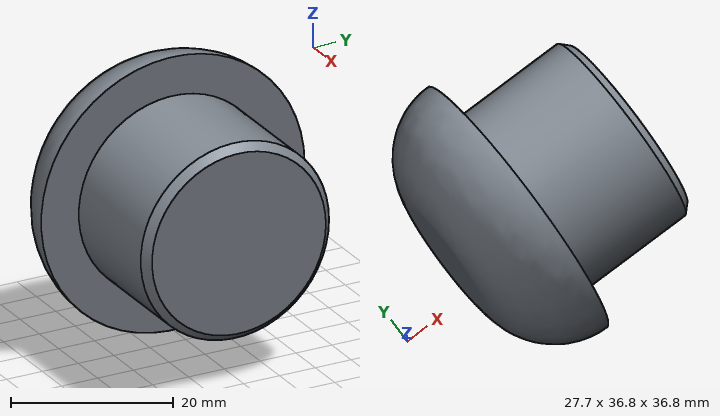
import cadquery as cq

head_diameter = 36.8
head_thickness = 10.7
shank_diameter = 26.3
total_length = 27.7
end_chamfer = 1.03

rim_radius = head_thickness


def make_head():
    """Half profile with a quarter-circle rim, revolved about the X axis."""
    head_radius = head_diameter / 2
    flat_radius = head_radius - rim_radius
    profile = (
        cq.Workplane("XY")
        .lineTo(0, flat_radius)
        .radiusArc((head_thickness, head_radius), rim_radius)
        .lineTo(head_thickness, 0)
        .close()
    )
    return profile.revolve(360, (0, 0, 0), (1, 0, 0))


def make_shank():
    """Cylinder from the back of the head, chamfered at its free end."""
    shank_length = total_length - head_thickness
    return (
        cq.Workplane("YZ", origin=(head_thickness, 0, 0))
        .circle(shank_diameter / 2)
        .extrude(shank_length)
        .faces(">X")
        .chamfer(end_chamfer)
    )


result = make_head().union(make_shank())